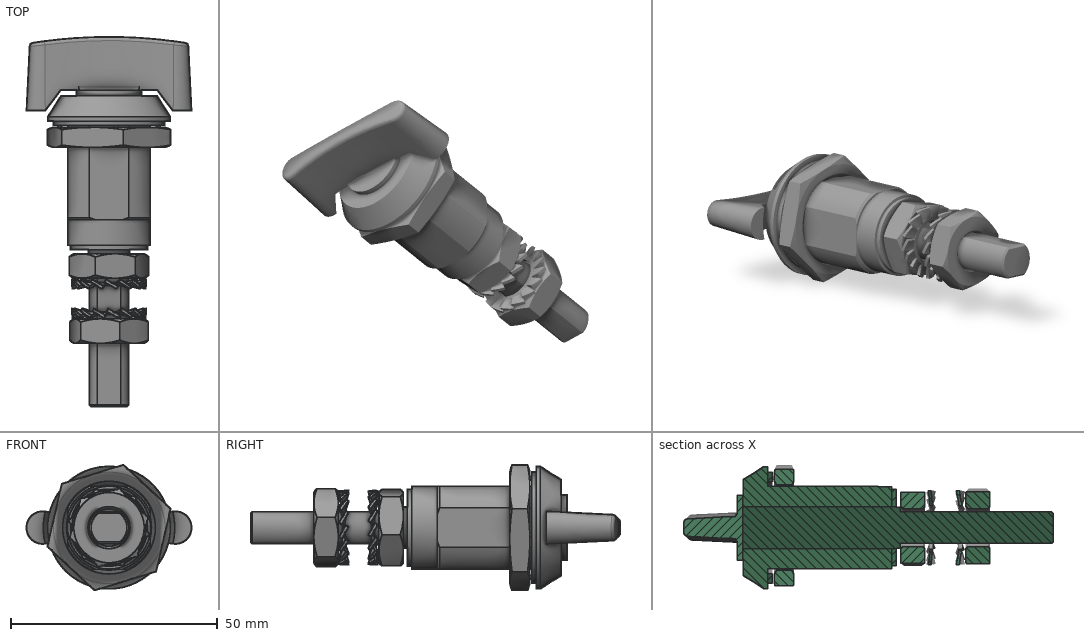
import cadquery as cq
import math


HANDLE_TOP_Y = 20.4
HANDLE_BOTTOM_Y = 2.5
HANDLE_HALF_LENGTH = 19.98
GRIP_EDGE_X = 15.5
GRIP_EDGE_HALF = 3.9
GRIP_WAIST_HALF = 2.95
HANDLE_DRAFT = 2.8
HANDLE_CROWN_RADIUS = 118.0
HANDLE_TOP_ROUND = 0.9
CLEARANCE_FLOOR_Y = 7.5
CLEARANCE_FLOOR_RADIUS = 12.1
CLEARANCE_MOUTH_RADIUS = 15.9
BOSS_DIAMETER = 15.8
BOSS_FILLET = 0.8

HOUSING_TOP_Y = 6.1
HOUSING_TOP_DIAMETER = 23.2
FLANGE_DIAMETER = 29.7
FLANGE_RIM = 1.0
BODY_DIAMETER = 22.2
BODY_FLATS = 20.0
BODY_THREAD_END_Y = -23.9
BODY_THREAD_CHAMFER = 0.5
BODY_END_Y = -30.0

SEAL_DIAMETER = 27.0
SEAL_THICKNESS = 1.1
NUB_CIRCLE_RADIUS = 12.1
NUB_DIAMETER = 1.0
NUB_COUNT = 4
NUB_TURN = 8.0

PANEL_NUT_TOP_Y = -1.5
PANEL_NUT_HEIGHT = 4.8
PANEL_NUT_FLATS = 27.0
PANEL_NUT_BORE = 20.6
PANEL_NUT_SINK = 22.4
PANEL_NUT_SINK_DEPTH = 0.5
PANEL_NUT_CHAMFER = 15.0
PANEL_NUT_TURN = 12.9

END_RING_DIAMETER = 18.7
END_RING_THICKNESS = 1.1

SPINDLE_DIAMETER = 10.0
SPINDLE_END_DIAMETER = 9.6
SPINDLE_FLATS = 7.8
SPINDLE_SHOULDER_Y = -32.1
SPINDLE_LENGTH_OVERALL = 89.4
SPINDLE_TIP_CHAMFER = 0.45

NUT_HEIGHT = 5.9
NUT_FLATS = 17.0
NUT_BORE = 9.0
NUT_SINK = 10.2
NUT_SINK_DEPTH = 0.5
NUT_CHAMFER = 30.0
OUTER_NUT_TOP_Y = -47.8
INNER_NUT_TURN = -19.9
OUTER_NUT_TURN = 15.5

WASHER_BORE = 10.5
WASHER_RING_DIAMETER = 12.4
WASHER_DIAMETER = 18.0
WASHER_THICKNESS = 0.8
TOOTH_COUNT = 16
TOOTH_ROOT_LENGTH = 2.2
TOOTH_ROOT_THICKNESS = 0.7
TOOTH_TIP_LENGTH = 3.4
TOOTH_ROOT_DEPTH = 0.4
TOOTH_TWIST = 30.0
INNER_WASHER_Y = -39.4
OUTER_WASHER_Y = -46.5
INNER_WASHER_TURN = 3.5
OUTER_WASHER_TURN = 6.6

SPINDLE_TIP_Y = HANDLE_TOP_Y - SPINDLE_LENGTH_OVERALL


def disc(diameter, top_y, bottom_y):
    """Cylinder on the Y axis."""
    return cq.Workplane("XZ", origin=(0, top_y, 0)).circle(diameter / 2).extrude(top_y - bottom_y)


def revolved(points):
    """Solid of revolution about Y from (radius, y) points."""
    return cq.Workplane("XY").polyline(points).close().revolve(360, (0, 0, 0), (0, 1, 0))


def turned(body, angle):
    """Turn about the Y axis, from +Z towards +X."""
    return body.rotate((0, 0, 0), (0, 1, 0), angle)


def make_handle():
    blank_height = HANDLE_TOP_Y - HANDLE_BOTTOM_Y
    grip = (
        cq.Workplane("XZ", origin=(0, HANDLE_BOTTOM_Y, 0))
        .moveTo(-GRIP_EDGE_X, GRIP_EDGE_HALF)
        .threePointArc((0, GRIP_WAIST_HALF), (GRIP_EDGE_X, GRIP_EDGE_HALF))
        .threePointArc((HANDLE_HALF_LENGTH, 0), (GRIP_EDGE_X, -GRIP_EDGE_HALF))
        .threePointArc((0, -GRIP_WAIST_HALF), (-GRIP_EDGE_X, -GRIP_EDGE_HALF))
        .threePointArc((-HANDLE_HALF_LENGTH, 0), (-GRIP_EDGE_X, GRIP_EDGE_HALF))
        .close()
        .extrude(-blank_height, taper=HANDLE_DRAFT)
    )
    crown = (
        cq.Workplane("XY")
        .center(0, HANDLE_TOP_Y - HANDLE_CROWN_RADIUS)
        .circle(HANDLE_CROWN_RADIUS)
        .extrude(2 * GRIP_EDGE_HALF, both=True)
    )
    grip = grip.intersect(crown)
    grip = grip.faces(">Y").edges().fillet(HANDLE_TOP_ROUND)
    clearance = revolved([
        (0, CLEARANCE_FLOOR_Y),
        (CLEARANCE_FLOOR_RADIUS, CLEARANCE_FLOOR_Y),
        (CLEARANCE_MOUTH_RADIUS, HANDLE_BOTTOM_Y),
        (0, HANDLE_BOTTOM_Y),
    ])
    plate = (
        cq.Workplane("XZ", origin=(0, CLEARANCE_FLOOR_Y, 0))
        .rect(2 * FLANGE_DIAMETER, 2 * FLANGE_DIAMETER)
        .extrude(CLEARANCE_FLOOR_Y - HOUSING_TOP_Y)
    )
    root = cq.selectors.BoxSelector(
        (-HANDLE_HALF_LENGTH, CLEARANCE_FLOOR_Y - 0.1, -BOSS_DIAMETER),
        (HANDLE_HALF_LENGTH, CLEARANCE_FLOOR_Y + 0.1, BOSS_DIAMETER),
    )
    filleted = grip.union(plate).edges(root).fillet(BOSS_FILLET)
    boss = filleted.intersect(disc(BOSS_DIAMETER, CLEARANCE_FLOOR_Y + BOSS_FILLET, HOUSING_TOP_Y))
    return grip.cut(clearance).union(boss)


def make_housing():
    flange = revolved([
        (0, HOUSING_TOP_Y),
        (HOUSING_TOP_DIAMETER / 2, HOUSING_TOP_Y),
        (FLANGE_DIAMETER / 2, FLANGE_RIM),
        (FLANGE_DIAMETER / 2, 0),
        (0, 0),
    ])
    thread = disc(BODY_DIAMETER, 0, BODY_THREAD_END_Y).faces("<Y").chamfer(BODY_THREAD_CHAMFER)
    square = (
        cq.Workplane("XZ")
        .rect(BODY_FLATS, BODY_FLATS)
        .extrude(-BODY_THREAD_END_Y)
    )
    plain_end = disc(BODY_FLATS, BODY_THREAD_END_Y, BODY_END_Y)
    bore = disc(SPINDLE_DIAMETER, HOUSING_TOP_Y, BODY_END_Y)
    return flange.union(thread.intersect(square)).union(plain_end).cut(bore)


def make_seal():
    seal = disc(SEAL_DIAMETER, 0, -SEAL_THICKNESS)
    nubs = (
        cq.Workplane("XZ")
        .polarArray(NUB_CIRCLE_RADIUS, 0, 360, NUB_COUNT)
        .circle(NUB_DIAMETER / 2)
        .extrude(-PANEL_NUT_TOP_Y)
    )
    return seal.union(turned(nubs, NUB_TURN)).cut(disc(BODY_DIAMETER, 0, PANEL_NUT_TOP_Y))


def make_hex_nut(top_y, height, flats, bore, sink, sink_depth, chamfer_angle, turn):
    """Hexagon nut chamfered and countersunk on both faces; at turn 0 a corner points to +Z."""
    corner_radius = flats / math.sqrt(3)
    bottom_y = top_y - height
    drop = (corner_radius - flats / 2) * math.tan(math.radians(chamfer_angle))
    hexagon = (
        cq.Workplane("XZ", origin=(0, top_y, 0))
        .transformed(rotate=(0, 0, 90))
        .polygon(6, 2 * corner_radius)
        .extrude(height)
    )
    envelope = revolved([
        (0, top_y),
        (flats / 2, top_y),
        (corner_radius, top_y - drop),
        (corner_radius, bottom_y + drop),
        (flats / 2, bottom_y),
        (0, bottom_y),
    ])
    hole = revolved([
        (0, top_y),
        (sink / 2, top_y),
        (bore / 2, top_y - sink_depth),
        (bore / 2, bottom_y + sink_depth),
        (sink / 2, bottom_y),
        (0, bottom_y),
    ])
    return turned(hexagon.intersect(envelope).cut(hole), turn)


def make_end_ring():
    ring_end_y = BODY_END_Y - END_RING_THICKNESS
    ring = disc(END_RING_DIAMETER, BODY_END_Y, ring_end_y)
    return ring.cut(disc(SPINDLE_DIAMETER, BODY_END_Y, ring_end_y))


def make_spindle():
    shank = disc(SPINDLE_DIAMETER, HOUSING_TOP_Y, SPINDLE_SHOULDER_Y)
    flatted = (
        disc(SPINDLE_END_DIAMETER, SPINDLE_SHOULDER_Y, SPINDLE_TIP_Y)
        .intersect(
            cq.Workplane("XZ", origin=(0, SPINDLE_SHOULDER_Y, 0))
            .rect(SPINDLE_END_DIAMETER, SPINDLE_FLATS)
            .extrude(SPINDLE_SHOULDER_Y - SPINDLE_TIP_Y)
        )
        .faces("<Y")
        .chamfer(SPINDLE_TIP_CHAMFER)
    )
    return shank.union(flatted)


def make_washer(middle_y, turn):
    """External-tooth lock washer; every tooth twists out of the ring towards its tip."""
    top_y = WASHER_THICKNESS / 2
    root_radius = WASHER_RING_DIAMETER / 2 - TOOTH_ROOT_DEPTH
    tip_radius = WASHER_DIAMETER / 2
    tooth = (
        cq.Workplane("XY", origin=(0, 0, root_radius))
        .rect(TOOTH_ROOT_LENGTH, TOOTH_ROOT_THICKNESS)
        .workplane(offset=tip_radius - root_radius)
        .transformed(rotate=(0, 0, -TOOTH_TWIST))
        .rect(TOOTH_TIP_LENGTH, WASHER_THICKNESS)
        .loft(ruled=True)
        .intersect(disc(WASHER_DIAMETER, TOOTH_TIP_LENGTH, -TOOTH_TIP_LENGTH))
    )
    washer = disc(WASHER_RING_DIAMETER, top_y, -top_y).cut(disc(WASHER_BORE, top_y, -top_y))
    for index in range(TOOTH_COUNT):
        washer = washer.union(turned(tooth, 360 / TOOTH_COUNT * index))
    return turned(washer, turn).translate((0, middle_y, 0))


handle = make_handle()
housing = make_housing()
seal = make_seal()
end_ring = make_end_ring()
spindle = make_spindle()

panel_nut = make_hex_nut(
    PANEL_NUT_TOP_Y, PANEL_NUT_HEIGHT, PANEL_NUT_FLATS, PANEL_NUT_BORE, PANEL_NUT_SINK,
    PANEL_NUT_SINK_DEPTH, PANEL_NUT_CHAMFER, PANEL_NUT_TURN,
).cut(housing)

spindle_nuts = [
    make_hex_nut(
        top_y, NUT_HEIGHT, NUT_FLATS, NUT_BORE, NUT_SINK, NUT_SINK_DEPTH, NUT_CHAMFER, turn,
    ).cut(spindle)
    for top_y, turn in ((SPINDLE_SHOULDER_Y, INNER_NUT_TURN), (OUTER_NUT_TOP_Y, OUTER_NUT_TURN))
]
lock_washers = [
    make_washer(middle_y, turn)
    for middle_y, turn in ((INNER_WASHER_Y, INNER_WASHER_TURN), (OUTER_WASHER_Y, OUTER_WASHER_TURN))
]

result = cq.Compound.makeCompound([
    handle.val(),
    housing.val(),
    seal.val(),
    panel_nut.val(),
    end_ring.val(),
    spindle.val(),
    *[nut.val() for nut in spindle_nuts],
    *[washer.val() for washer in lock_washers],
])